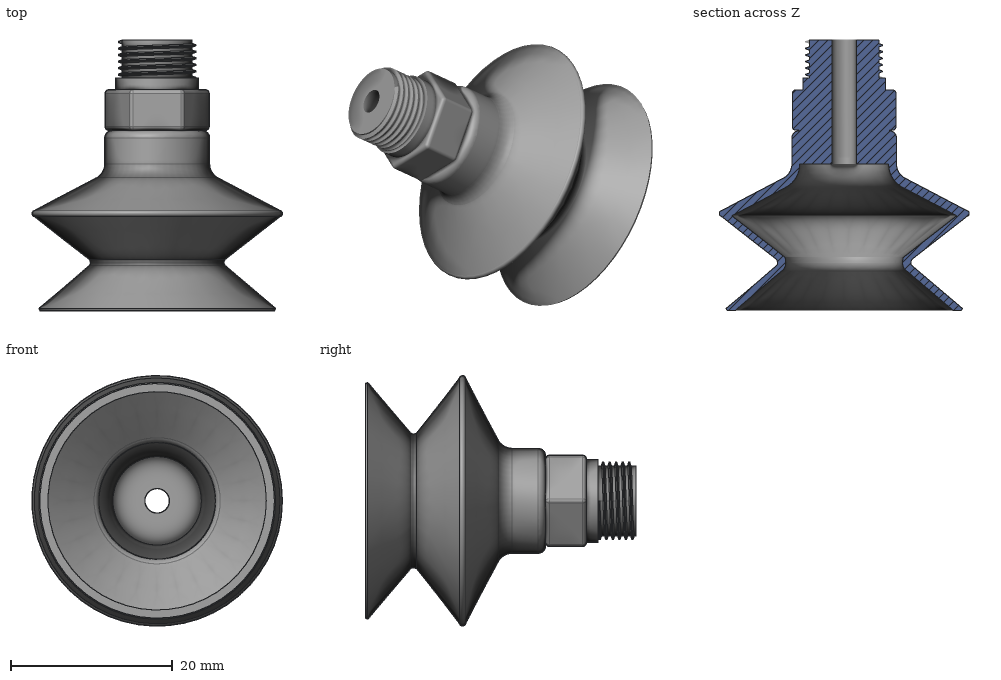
import cadquery as cq
import math


LIP_EDGE_H = 0.3
WAIST_START = 5.6
WAIST_MIDDLE = 5.9
WAIST_END = 6.35
WAIST_INNER_END = 6.6
RIM_START = 11.65
RIM_END = 12.4
SHOULDER_START = 16.5
NECK_START = 18.15
NECK_END = 22.3
HEX_END = 27.35
COLLAR_END = 28.8
TOTAL_LENGTH = 33.5

LIP_R = 14.65
LIP_FACE_R = 14.5
WAIST_R = 8.4
WAIST_THROAT_R = 8.28
RIM_R = 15.5
RIM_EDGE_R = 15.2
SHOULDER_R = 7.4
NECK_R = 6.5
NECK_ROUND = 0.95

LIP_INNER_R = 13.5
WALL = 1.2
WAIST_INNER_R = WAIST_R - WALL
WAIST_INNER_EXIT_R = 7.28
SHOULDER_INNER_R = SHOULDER_R
WAIST_INNER_START_R = 7.8
SOCKET_R = 5.47
FLOOR = NECK_START
BORE_R = 1.5

HEX_SIDES = 6
HEX_FLATS = 11.3
HEX_ROUND = 0.5
COLLAR_R = 5.13
CORE_R = 4.33

THREAD_R = 4.8
PITCH = 0.808
THREAD_TURNS = 5.5
THREAD_START = COLLAR_END
RIDGE_ROOT_W = 0.5
RIDGE_CREST_W = 0.12
ROOT_OVERLAP = 0.1


def revolve_profile(profile):
    """Turn a closed (radius, height) profile once around the Z axis."""
    return profile.close().revolve(360, (0, 0, 0), (0, 1, 0)).rotate((0, 0, 0), (1, 0, 0), 90)


def tangent_arc_middle(start, end, tangent):
    """Middle point of the arc from start to end that leaves start along tangent."""
    chord_x = end[0] - start[0]
    chord_y = end[1] - start[1]
    chord = math.hypot(chord_x, chord_y)
    cross = tangent[0] * chord_y - tangent[1] * chord_x
    dot = tangent[0] * chord_x + tangent[1] * chord_y
    sagitta = chord / 2 * math.tan(math.atan2(cross, dot) / 2)
    return (
        (start[0] + end[0]) / 2 + sagitta * chord_y / chord,
        (start[1] + end[1]) / 2 - sagitta * chord_x / chord,
    )


def bellows_body():
    waist_start = (WAIST_R, WAIST_START)
    waist_throat = (WAIST_THROAT_R, WAIST_MIDDLE)
    waist_end = (WAIST_R, WAIST_END)
    rim_mid = (RIM_START + RIM_END) / 2
    shoulder = (SHOULDER_R, SHOULDER_START)
    neck = (NECK_R, NECK_START)
    shoulder_mid = tangent_arc_middle(neck, shoulder, (0, -1))
    round_centre = (NECK_R - NECK_ROUND, NECK_END - NECK_ROUND)
    diagonal = NECK_ROUND / math.sqrt(2)
    profile = (
        cq.Workplane("XY")
        .moveTo(0, 0)
        .lineTo(LIP_FACE_R, 0)
        .lineTo(LIP_R, LIP_EDGE_H)
        .lineTo(*waist_start)
        .threePointArc(tangent_arc_middle(waist_throat, waist_start, (0, -1)), waist_throat)
        .threePointArc(tangent_arc_middle(waist_throat, waist_end, (0, 1)), waist_end)
        .lineTo(RIM_EDGE_R, RIM_START)
        .threePointArc((RIM_R, rim_mid), (RIM_EDGE_R, RIM_END))
        .lineTo(*shoulder)
        .threePointArc(shoulder_mid, neck)
        .lineTo(NECK_R, round_centre[1])
        .threePointArc(
            (round_centre[0] + diagonal, round_centre[1] + diagonal),
            (round_centre[0], NECK_END),
        )
        .lineTo(0, NECK_END)
    )
    return revolve_profile(profile)


def bellows_cavity():
    lip_slope = (WAIST_START - LIP_EDGE_H) / (LIP_R - WAIST_R)
    lower_slope = (RIM_START - WAIST_END) / (RIM_EDGE_R - WAIST_R)
    upper_slope = (SHOULDER_START - RIM_END) / (RIM_EDGE_R - SHOULDER_R)
    waist_entry = (WAIST_INNER_START_R, (LIP_INNER_R - WAIST_INNER_START_R) * lip_slope)
    waist_throat = (WAIST_INNER_R, WAIST_MIDDLE)
    waist_exit = (WAIST_INNER_EXIT_R, WAIST_INNER_END)
    lower_offset = waist_exit[1] - lower_slope * waist_exit[0]
    upper_offset = RIM_END + upper_slope * RIM_EDGE_R - WALL * math.hypot(1, upper_slope)
    peak_r = (upper_offset - lower_offset) / (lower_slope + upper_slope)
    peak = (peak_r, lower_offset + lower_slope * peak_r)
    shoulder = (SHOULDER_INNER_R, upper_offset - upper_slope * SHOULDER_INNER_R)
    socket = (SOCKET_R, FLOOR)
    profile = (
        cq.Workplane("XY")
        .moveTo(0, 0)
        .lineTo(LIP_INNER_R, 0)
        .lineTo(*waist_entry)
        .threePointArc(tangent_arc_middle(waist_throat, waist_entry, (0, -1)), waist_throat)
        .threePointArc(tangent_arc_middle(waist_throat, waist_exit, (0, 1)), waist_exit)
        .lineTo(*peak)
        .lineTo(*shoulder)
        .threePointArc(tangent_arc_middle(socket, shoulder, (0, -1)), socket)
        .lineTo(0, FLOOR)
    )
    return revolve_profile(profile)


def cylinder(radius, start, end):
    return cq.Workplane("XY").workplane(offset=start).circle(radius).extrude(end - start)


def hex_nut():
    """Rounded hexagon with two corners on the X axis."""
    corner_diameter = HEX_FLATS / math.cos(math.pi / HEX_SIDES)
    return (
        cq.Workplane("XY")
        .workplane(offset=NECK_END)
        .polygon(HEX_SIDES, corner_diameter)
        .extrude(HEX_END - NECK_END)
        .edges()
        .fillet(HEX_ROUND)
    )


def thread_ridge():
    """Right-handed ridge, its root sunk slightly into the thread core."""
    root_r = CORE_R - ROOT_OVERLAP
    helix = cq.Wire.makeHelix(PITCH, PITCH * THREAD_TURNS, root_r)
    ridge = (
        cq.Workplane("XZ")
        .polyline([
            (root_r, -RIDGE_ROOT_W / 2),
            (THREAD_R, -RIDGE_CREST_W / 2),
            (THREAD_R, RIDGE_CREST_W / 2),
            (root_r, RIDGE_ROOT_W / 2),
        ])
        .close()
        .sweep(cq.Workplane(obj=helix), isFrenet=True)
    )
    return ridge.translate((0, 0, THREAD_START))


cup = bellows_body().cut(bellows_cavity())
connector = (
    hex_nut()
    .union(cylinder(COLLAR_R, HEX_END, COLLAR_END))
    .union(cylinder(CORE_R, COLLAR_END, TOTAL_LENGTH))
    .union(thread_ridge())
)
bore = cylinder(BORE_R, 0, TOTAL_LENGTH)
result = cup.union(connector).cut(bore).rotate((0, 0, 0), (1, 0, 0), -90)